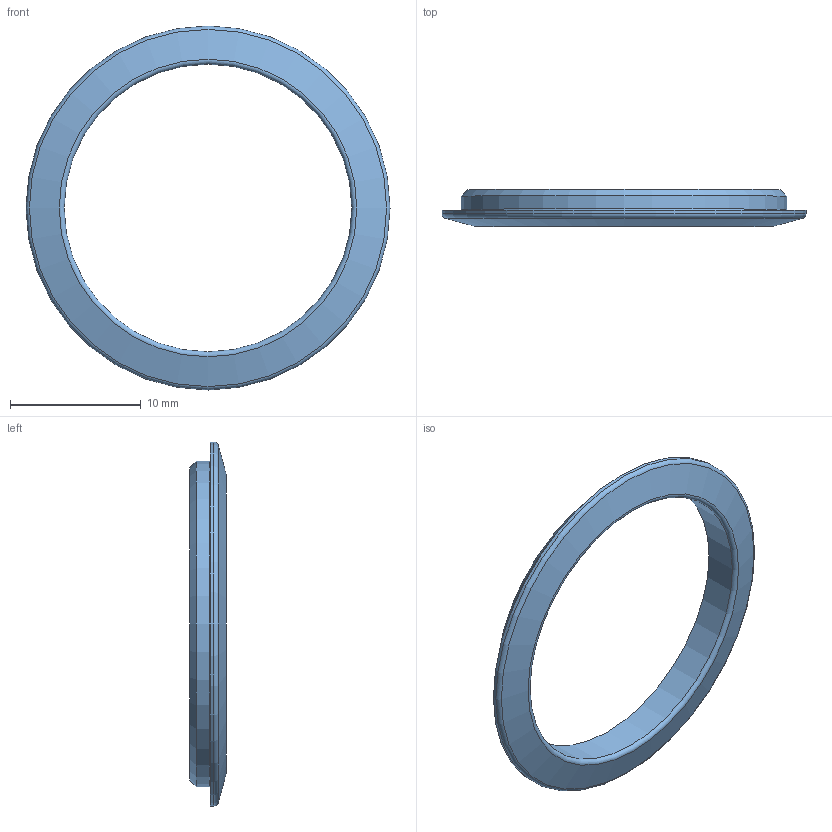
import cadquery as cq
import math

outer_radius = 13.915
bore_radius = 11.0
hub_radius = 12.44
total_width = 2.82
hub_length = 1.6
hub_chamfer = 0.5
root_fillet = 0.1
rim_fillet = 0.35
nose_fillet = 0.3
cone_angle = math.radians(15)

back_y = total_width / 2
front_y = -total_width / 2
flange_back_y = back_y - hub_length

nose_radius = bore_radius + nose_fillet
nose_y = front_y + nose_fillet

cone_normal = math.pi / 2 - cone_angle
rim_radius = outer_radius - rim_fillet
rim_y = (
    nose_y
    + (rim_radius - nose_radius) * math.tan(cone_angle)
    + (rim_fillet - nose_fillet) / math.cos(cone_angle)
)


def rim_point(direction):
    """Point on the rim round; direction turns from radially outward toward -Y."""
    return (
        rim_radius + rim_fillet * math.cos(direction),
        rim_y - rim_fillet * math.sin(direction),
    )


def nose_point(direction):
    """Point on the nose round; direction turns from radially outward toward -Y."""
    return (
        nose_radius + nose_fillet * math.cos(direction),
        nose_y - nose_fillet * math.sin(direction),
    )


def ring_profile():
    """Half section: X is the radius and Y the position along the axis."""
    root_center_radius = hub_radius + root_fillet
    root_center_y = flange_back_y + root_fillet
    root_middle = (
        root_center_radius - root_fillet * math.sqrt(0.5),
        root_center_y - root_fillet * math.sqrt(0.5),
    )
    nose_middle_direction = (cone_normal + math.pi) / 2
    return (
        cq.Workplane("XY")
        .moveTo(bore_radius, back_y)
        .lineTo(hub_radius - hub_chamfer, back_y)
        .lineTo(hub_radius, back_y - hub_chamfer)
        .lineTo(hub_radius, root_center_y)
        .threePointArc(root_middle, (root_center_radius, flange_back_y))
        .lineTo(outer_radius, flange_back_y)
        .lineTo(outer_radius, rim_y)
        .threePointArc(rim_point(cone_normal / 2), rim_point(cone_normal))
        .lineTo(*nose_point(cone_normal))
        .threePointArc(nose_point(nose_middle_direction), (bore_radius, nose_y))
        .close()
    )


result = ring_profile().revolve(360, (0, 0, 0), (0, 1, 0))